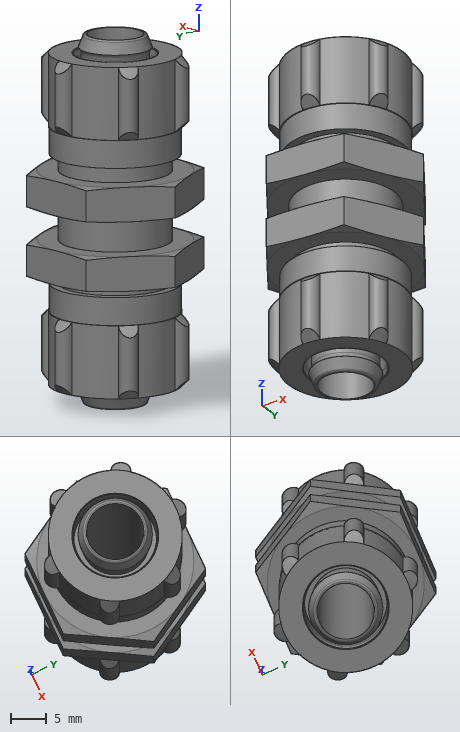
import cadquery as cq
import math

half_length = 26.5

bore_radius = 8.0 / 2
barrel_radius = 16.0 / 2
neck_radius = 9.6 / 2
barb_radius = 5.2
tip_radius = 4.45
tip_fillet = 0.3
cove_radius = 1.05
barb_depth = 1.9

cap_radius = 9.4
cap_depth = 2.7
grip_height = 10.5
collar_radius = 18.5 / 2
collar_height = 4.05
lip_thickness = 3.75
mouth_radius = 11.6 / 2
mouth_rim_radius = 5.95
mouth_taper_depth = 1.05
mouth_bevel = 0.13
rib_count = 6
rib_radius = 1.4
rib_tip_radius = 10.8

nut_across_flats = 22.0
nut_height = 5.0
nut_corner_drop = 0.25
nut_centers = (4.45, -5.5)

cap_face = half_length - cap_depth
grip_end = cap_face - grip_height
collar_end = grip_end - collar_height
barrel_end = cap_face - lip_thickness


def revolve_profile(points):
    """Spin a closed (radius, height) outline about the Z axis."""
    return cq.Workplane("XZ").polyline(points).close().revolve(360, (0, 0), (0, 1))


def make_nozzle():
    """Solid nozzle standing on the upper end of the barrel."""
    barb_height = half_length - barb_depth
    sweep = math.acos(1 - (barb_radius - neck_radius) / cove_radius)
    cove_start = barb_height - cove_radius * math.sin(sweep)
    cove_middle = (
        neck_radius + cove_radius * (1 - math.cos(sweep / 2)),
        cove_start + cove_radius * math.sin(sweep / 2),
    )
    nozzle = (
        cq.Workplane("XZ")
        .moveTo(0, barrel_end)
        .lineTo(neck_radius, barrel_end)
        .lineTo(neck_radius, cove_start)
        .threePointArc(cove_middle, (barb_radius, barb_height))
        .lineTo(tip_radius, half_length)
        .lineTo(0, half_length)
        .close()
        .revolve(360, (0, 0), (0, 1))
    )
    return nozzle.faces(">Z").edges().fillet(tip_fillet)


def make_core():
    barrel = cq.Workplane("XY", origin=(0, 0, -barrel_end)).circle(barrel_radius).extrude(2 * barrel_end)
    nozzle = make_nozzle()
    bore = cq.Workplane("XY", origin=(0, 0, -half_length)).circle(bore_radius).extrude(2 * half_length)
    return barrel.union(nozzle).union(nozzle.mirror("XY")).cut(bore)


def make_cap():
    """Cap for the upper end of the core."""
    shell = revolve_profile([
        (barrel_radius, collar_end),
        (collar_radius, collar_end),
        (collar_radius, grip_end),
        (cap_radius, grip_end),
        (cap_radius, cap_face),
        (mouth_rim_radius + mouth_bevel, cap_face),
        (mouth_rim_radius, cap_face - mouth_bevel),
        (mouth_radius, cap_face - mouth_taper_depth),
        (mouth_radius, barrel_end),
        (barrel_radius, barrel_end),
    ])
    ribs = (
        cq.Workplane("XY", origin=(0, 0, grip_end))
        .polarArray(rib_tip_radius - rib_radius, 90, 360, rib_count)
        .circle(rib_radius)
        .extrude(grip_height)
    )
    bevel = rib_tip_radius - cap_radius
    rib_limits = revolve_profile([
        (barrel_radius, grip_end),
        (cap_radius, grip_end),
        (rib_tip_radius, grip_end + bevel),
        (rib_tip_radius, cap_face - bevel),
        (cap_radius, cap_face),
        (barrel_radius, cap_face),
    ])
    return shell.union(ribs.intersect(rib_limits))


def make_nut(center_height):
    """Hex nut with both faces bevelled at the corners."""
    flat_radius = nut_across_flats / 2
    corner_radius = flat_radius / math.cos(math.pi / 6)
    half_height = nut_height / 2
    prism = (
        cq.Workplane("XY", origin=(0, 0, -half_height))
        .polygon(6, 2 * corner_radius)
        .extrude(nut_height)
    )
    bevelled_ring = revolve_profile([
        (barrel_radius, -half_height),
        (flat_radius, -half_height),
        (corner_radius, nut_corner_drop - half_height),
        (corner_radius, half_height - nut_corner_drop),
        (flat_radius, half_height),
        (barrel_radius, half_height),
    ])
    return prism.intersect(bevelled_ring).translate((0, 0, center_height))


core = make_core()
upper_cap = make_cap()
lower_cap = upper_cap.mirror("XY")
nuts = [make_nut(center) for center in nut_centers]

result = cq.Compound.makeCompound(
    [core.val(), upper_cap.val(), lower_cap.val(), *[nut.val() for nut in nuts]]
)